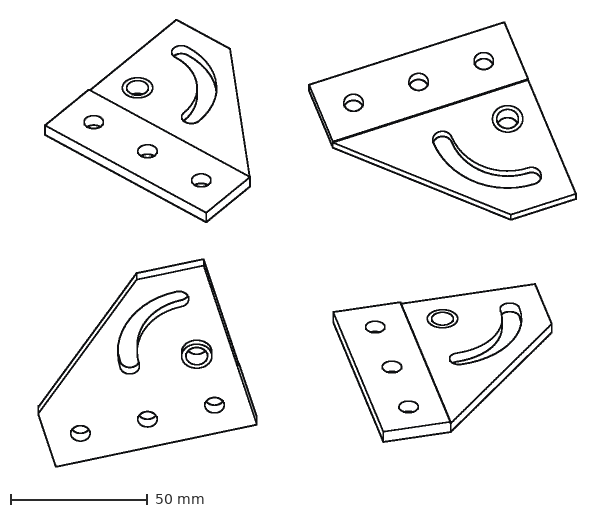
import cadquery as cq
import math

side = 76.2
pitch = side / 3
edge = pitch / 2
thick = 4.7
step = 0.8
thin = thick - step

screw_diameter = 7.1
screw_count = 3

bushing_diameter = 11.1
bushing_bore = 7.9
bushing_drop = 2.4

pivot = (edge, edge + pitch)
slot_radius = pitch
cut_height = 2 * thick


def make_blank():
    """Plate with a cut-off corner and a thicker strip along its front edge."""
    blank = (
        cq.Workplane("XY")
        .polyline([(0, 0), (side, 0), (side, pitch), (pitch, side), (0, side)])
        .close()
        .extrude(thin)
    )
    strip = cq.Workplane("XY").box(side, pitch, thick, centered=False)
    return blank.union(strip)


def make_screw_holes():
    """Row of through holes along the strip."""
    centers = [(edge + i * pitch, edge) for i in range(screw_count)]
    return cq.Workplane("XY").pushPoints(centers).circle(screw_diameter / 2).extrude(cut_height)


def make_slot():
    """Quarter-turn slot with round ends, centred on the pivot."""
    x, y = pivot
    outer = slot_radius + screw_diameter / 2
    inner = slot_radius - screw_diameter / 2
    diagonal = math.sqrt(0.5)
    end = screw_diameter / 2
    return (
        cq.Workplane("XY")
        .moveTo(x + outer, y)
        .threePointArc((x + outer * diagonal, y + outer * diagonal), (x, y + outer))
        .threePointArc((x - end, y + slot_radius), (x, y + inner))
        .threePointArc((x + inner * diagonal, y + inner * diagonal), (x + inner, y))
        .threePointArc((x + slot_radius, y - end), (x + outer, y))
        .close()
        .extrude(cut_height)
    )


def make_plate():
    """Plate with screw holes, curved slot and a hole for the bushing."""
    bushing_hole = cq.Workplane("XY").center(*pivot).circle(bushing_diameter / 2).extrude(cut_height)
    return make_blank().cut(make_screw_holes()).cut(make_slot()).cut(bushing_hole)


def make_bushing():
    """Pivot bushing, flush with the plate's top and projecting below it."""
    return (
        cq.Workplane("XY", origin=(0, 0, -bushing_drop))
        .center(*pivot)
        .circle(bushing_diameter / 2)
        .circle(bushing_bore / 2)
        .extrude(bushing_drop + thin)
    )


plate = make_plate()
bushing = make_bushing()
result = cq.Compound.makeCompound([plate.val(), bushing.val()])